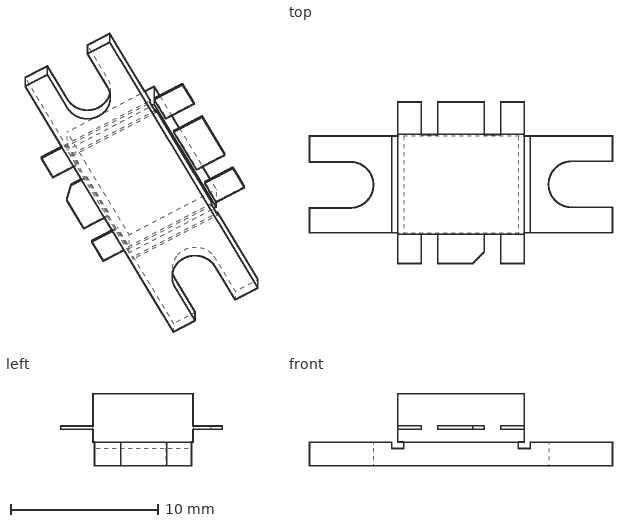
import cadquery as cq

flange_length = 20.6
flange_width = 6.6
flange_thickness = 1.6

slot_width = 3.11
slot_depth = 4.35
left_slot_center_y = -0.05
right_slot_center_y = 0.0

groove_width = 0.8
groove_depth = 0.41
groove_outer_span = 9.4

package_length = 8.61
package_width = 6.8
total_height = 4.9

lead_bottom = 2.47
lead_thickness = 0.25
side_lead_width = 1.6
middle_lead_width = 3.17
lead_front_reach = 5.4
lead_back_reach = 5.6
lead_chamfer = 0.8


def end_slot(side, center_y):
    """Cutter for the slot open at one flange end; side is -1 (left) or +1 (right)."""
    radius = slot_width / 2
    end_x = side * flange_length / 2
    arc_center_x = end_x - side * (slot_depth - radius)
    inner_x = end_x - side * slot_depth
    return (
        cq.Workplane("XY")
        .moveTo(end_x, center_y - radius)
        .lineTo(arc_center_x, center_y - radius)
        .threePointArc((inner_x, center_y), (arc_center_x, center_y + radius))
        .lineTo(end_x, center_y + radius)
        .close()
        .extrude(flange_thickness)
    )


def relief_groove(side):
    """Cutter for the groove on one side of the package."""
    center_x = side * (groove_outer_span - groove_width) / 2
    return (
        cq.Workplane("XY")
        .workplane(offset=flange_thickness - groove_depth)
        .center(center_x, 0)
        .rect(groove_width, flange_width)
        .extrude(groove_depth)
    )


def flange():
    plate = cq.Workplane("XY").rect(flange_length, flange_width).extrude(flange_thickness)
    for side, slot_center_y in ((-1, left_slot_center_y), (1, right_slot_center_y)):
        plate = plate.cut(end_slot(side, slot_center_y))
        plate = plate.cut(relief_groove(side))
    return plate


def package():
    return (
        cq.Workplane("XY")
        .workplane(offset=flange_thickness)
        .rect(package_length, package_width)
        .extrude(total_height - flange_thickness)
    )


def lead(center_x, width):
    center_y = (lead_back_reach - lead_front_reach) / 2
    return (
        cq.Workplane("XY")
        .workplane(offset=lead_bottom)
        .center(center_x, center_y)
        .rect(width, lead_front_reach + lead_back_reach)
        .extrude(lead_thickness)
    )


middle_lead = lead(0, middle_lead_width)
middle_lead = middle_lead.edges("|Z and >X and <Y").chamfer(lead_chamfer)

result = flange().union(package()).union(middle_lead)

side_lead_spacing = (package_length - side_lead_width) / 2
for side in (-1, 1):
    result = result.union(lead(side * side_lead_spacing, side_lead_width))